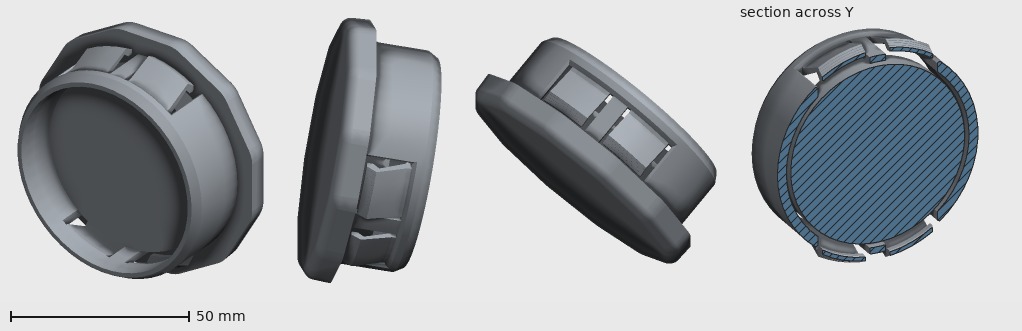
import cadquery as cq
import math


flange_sides = 12
flange_across_flats = 73.15
flange_thickness = 8.0
flange_corner_radius = 8.3
flange_draft_angle = 3.0
flange_edge_fillet = 3.2

barrel_length = 20.0
barrel_radius = 63.0 / 2
bore_radius = 57.1 / 2
rim_chamfer_length = 2.7
rim_chamfer_depth = 1.6

core_radius = 54.63 / 2
core_height = 8.0

recess_radius = 30.6
recess_outer_half_width = 19.45
recess_inner_half_width = 18.6
recess_outer_length = 15.2
recess_inner_length = 14.0

rib_half_width = 2.53
tab_gap = 1.28
tab_inner_x = rib_half_width + tab_gap
tab_outer_x = recess_inner_half_width - tab_gap
tab_start = 1.25
tab_nose_radius = 32.45
tab_crest_depth = 3.95
tab_crest_radius = 34.0
tab_foot_depth = 12.9
tab_hook_radius = 31.0
tab_hook_chamfer = 0.35
tab_hook_depth = 3.1
tab_underside_depth = 4.8
tab_underside_radius = 32.4
tab_root_depth = 13.3
tab_root_rise = 0.05
tooth_count = 4
tooth_step = 0.1

overlap = 1.0


def revolved(points):
    """Revolve a (radius, Y) outline about the Y axis."""
    return cq.Workplane("XY").polyline(points).close().revolve(360, (0, 0, 0), (0, 1, 0))


def block(x_min, x_max, depth_min, depth_max, z_max):
    """Box from the XY plane up to z_max, between two depths below the flange."""
    box = cq.Workplane("XY").box(x_max - x_min, depth_max - depth_min, z_max, centered=False)
    return box.translate((x_min, -depth_max, 0))


def make_flange():
    """Drafted twelve-sided plate with flats facing X and Z and a rounded outer edge."""
    corner_diameter = flange_across_flats / math.cos(math.pi / flange_sides)
    half_step = 180.0 / flange_sides
    outline = cq.Sketch().regularPolygon(corner_diameter / 2, flange_sides, half_step)
    outline = outline.vertices().fillet(flange_corner_radius)
    flange = cq.Workplane("ZX").placeSketch(outline).extrude(flange_thickness, taper=flange_draft_angle)
    return flange.faces(">Y").edges().fillet(flange_edge_fillet)


def make_barrel():
    """Plain tube with a chamfered rim, reaching into the flange."""
    return revolved([
        (bore_radius, overlap),
        (barrel_radius, overlap),
        (barrel_radius, rim_chamfer_length - barrel_length),
        (barrel_radius - rim_chamfer_depth, -barrel_length),
        (bore_radius, -barrel_length),
    ])


def make_core():
    """Solid disc closing the barrel, with a narrow gap to the bore."""
    return cq.Workplane("XZ", origin=(0, overlap, 0)).circle(core_radius).extrude(core_height + overlap)


def make_recess():
    """Shallow recess on the +Z side: bevelled end, slanted sides and a round floor."""
    floor_z = math.sqrt(recess_radius**2 - recess_inner_half_width**2)
    edge_z = math.sqrt(barrel_radius**2 - recess_outer_half_width**2)
    side_slope = (recess_outer_half_width - recess_inner_half_width) / (edge_z - floor_z)
    top_z = barrel_radius + overlap
    top_half_width = recess_inner_half_width + side_slope * (top_z - floor_z)
    prism = (
        cq.Workplane("XZ")
        .polyline([
            (-recess_inner_half_width, 0),
            (recess_inner_half_width, 0),
            (recess_inner_half_width, floor_z),
            (top_half_width, top_z),
            (-top_half_width, top_z),
            (-recess_inner_half_width, floor_z),
        ])
        .close()
        .extrude(recess_outer_length + overlap)
    )
    ring = revolved([
        (recess_radius, 0),
        (barrel_radius + overlap, 0),
        (barrel_radius + overlap, -recess_outer_length),
        (barrel_radius, -recess_outer_length),
        (recess_radius, -recess_inner_length),
    ])
    return prism.intersect(ring)


def make_window():
    """Opening through the barrel wall on the +X side of the middle rib."""
    opening = block(rib_half_width, recess_inner_half_width, 0, recess_inner_length, barrel_radius + overlap)
    wall = revolved([
        (bore_radius - overlap / 2, 0),
        (barrel_radius + overlap, 0),
        (barrel_radius + overlap, -recess_inner_length),
        (bore_radius - overlap / 2, -recess_inner_length),
    ])
    return opening.intersect(wall)


def make_tab():
    """Snap tab: a sloping tongue with a toothed nose, hinged at the far end of its window."""
    run = (tab_crest_depth - tab_start) / tooth_count
    rise = (tab_crest_radius - tab_nose_radius) / tooth_count
    teeth = []
    for tooth in range(tooth_count):
        depth = tab_start + tooth * run
        radius = tab_nose_radius + tooth * rise
        teeth.append((radius, -depth))
        teeth.append((radius + rise - tooth_step, -(depth + run)))
    profile = revolved(teeth + [
        (tab_crest_radius, -tab_crest_depth),
        (recess_radius, -tab_foot_depth),
        (recess_radius, -recess_inner_length),
        (bore_radius, -recess_inner_length),
        (bore_radius + tab_root_rise, -tab_root_depth),
        (tab_underside_radius, -tab_underside_depth),
        (tab_hook_radius, -tab_hook_depth),
        (tab_hook_radius, -tab_start - tab_hook_chamfer),
        (tab_hook_radius + tab_hook_chamfer, -tab_start),
    ])
    strip = block(tab_inner_x, tab_outer_x, 0, barrel_length, tab_crest_radius + overlap)
    return profile.intersect(strip)


def on_both_ends(feature):
    """The feature and its mirror image on the -Z side."""
    return [feature, feature.mirror("XY")]


def on_both_sides(feature):
    """The feature and its mirror image on the -X side."""
    return [feature, feature.mirror("YZ")]


barrel = make_barrel()
for recess in on_both_ends(make_recess()):
    barrel = barrel.cut(recess)
for side_window in on_both_sides(make_window()):
    for window in on_both_ends(side_window):
        barrel = barrel.cut(window)
for side_tab in on_both_sides(make_tab()):
    for tab in on_both_ends(side_tab):
        barrel = barrel.union(tab)

result = make_flange().union(make_core()).union(barrel)